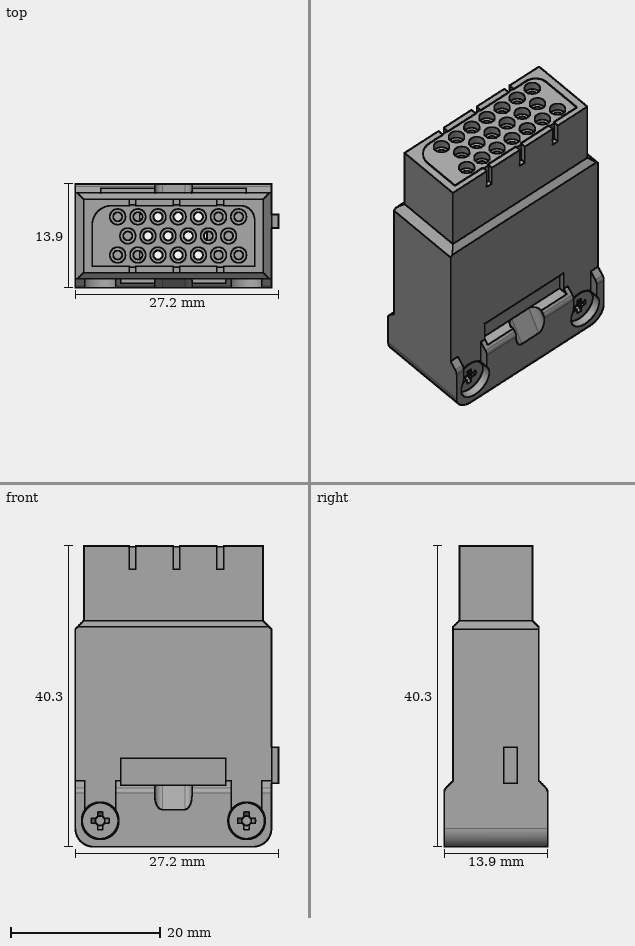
import cadquery as cq
import math

total_height = 40.3
shell_width = 26.3
body_thickness = 11.5
base_thickness = 13.9
neck_width = 24.0
neck_thickness = 9.8
neck_height = 10.0
neck_bottom = total_height - neck_height
bottom_corner_radius = 2.5

flare_top = 8.85
flare_radius = 1.0

insert_width = 21.75
insert_thickness = 8.1
insert_recess = 0.1
insert_left_corner_radius = 2.6
insert_right_corner_radius = 1.9

key_slot_width = 0.9
key_slot_depth = 3.1
key_slot_pitch = 5.87
key_slot_offset = 0.4
key_slot_floor_wall = 0.15

contact_pitch = 2.7
row_pitch = 2.56
contact_offset = 0.64
contacts_per_row = (7, 6, 7)
contact_socket_diameter = 2.1
contact_socket_depth = 1.25
contact_bore_diameter = 1.2

passage_width = 9.0
passage_thickness = 8.1

front_window_width = 14.07
back_window_width = 19.5
window_bottom = 8.25
window_top = 11.9
window_depth = 0.85
ramp_width = 5.0
ramp_bottom = 5.0
ramp_corner_radius = 1.0

screw_spacing = 19.6
screw_height = 3.5
screw_pocket_diameter = 5.0
screw_gap = 0.1
screw_gap_depth = 1.0
screw_channel_width = 4.1
drive_core_diameter = 1.28
drive_depth = 1.0
drive_arm_reach = 1.2
drive_arm_width = 0.7
drive_arm_depth = 0.8

tab_length = 0.95
tab_thickness = 1.85
tab_center_y = 1.95
tab_bottom = 8.5
tab_top = 13.35


def box_between(x_range, y_range, z_range):
    """Axis-aligned box given its limits along each axis."""
    return (
        cq.Workplane("XY")
        .box(
            x_range[1] - x_range[0],
            y_range[1] - y_range[0],
            z_range[1] - z_range[0],
            centered=False,
        )
        .translate((x_range[0], y_range[0], z_range[0]))
    )


def centered_range(center, size):
    return (center - size / 2, center + size / 2)


def make_housing():
    """Common volume of the width outline and the thickness outline."""
    half_width = shell_width / 2
    half_neck_width = neck_width / 2
    half_body = body_thickness / 2
    half_base = base_thickness / 2
    half_neck = neck_thickness / 2

    width_outline = (
        cq.Workplane("XZ")
        .moveTo(0, 0)
        .lineTo(half_width - bottom_corner_radius, 0)
        .radiusArc((half_width, bottom_corner_radius), -bottom_corner_radius)
        .lineTo(half_width, neck_bottom - (half_width - half_neck_width))
        .lineTo(half_neck_width, neck_bottom)
        .lineTo(half_neck_width, total_height)
        .lineTo(0, total_height)
        .close()
        .extrude(half_base, both=True)
    )
    width_outline = width_outline.union(width_outline.mirror("YZ"))

    arc_inset = flare_radius * (1 - math.cos(math.pi / 4))
    arc_rise = flare_radius * math.sin(math.pi / 4)
    arc_top_y = half_base - arc_inset
    arc_top_z = flare_top - (arc_top_y - half_body)
    thickness_outline = (
        cq.Workplane("YZ")
        .moveTo(0, 0)
        .lineTo(half_base, 0)
        .lineTo(half_base, arc_top_z - arc_rise)
        .radiusArc((arc_top_y, arc_top_z), -flare_radius)
        .lineTo(half_body, flare_top)
        .lineTo(half_body, neck_bottom - (half_body - half_neck))
        .lineTo(half_neck, neck_bottom)
        .lineTo(half_neck, total_height)
        .lineTo(0, total_height)
        .close()
        .extrude(half_width, both=True)
    )
    thickness_outline = thickness_outline.union(thickness_outline.mirror("XZ"))
    return width_outline.intersect(thickness_outline)


def cut_insert_face(part):
    """Lower the insert face below the neck rim; only its +Y corners are rounded."""
    recess = (
        cq.Workplane("XY")
        .workplane(offset=total_height - insert_recess)
        .rect(insert_width, insert_thickness)
        .extrude(insert_recess)
        .edges("|Z and >Y and <X")
        .fillet(insert_left_corner_radius)
        .edges("|Z and >Y and >X")
        .fillet(insert_right_corner_radius)
    )
    return part.cut(recess)


def cut_key_slots(part):
    """Three slots in each long wall, with a thin wall left level with the insert."""
    slot_z = (total_height - key_slot_depth, total_height)
    recess_z = (total_height - insert_recess, total_height)
    insert_y = insert_thickness / 2
    floor_y = insert_y + key_slot_floor_wall
    outer_y = neck_thickness / 2
    for step in (-1, 0, 1):
        slot_x = centered_range(key_slot_offset + step * key_slot_pitch, key_slot_width)
        slot = box_between(slot_x, (floor_y, outer_y), slot_z)
        slot = slot.union(box_between(slot_x, (insert_y, outer_y), recess_z))
        part = part.cut(slot).cut(slot.mirror("XZ"))
    return part


def contact_positions():
    positions = []
    middle_row = (len(contacts_per_row) - 1) / 2
    for row, count in enumerate(contacts_per_row):
        for column in range(count):
            x = contact_offset + (column - (count - 1) / 2) * contact_pitch
            positions.append((x, (row - middle_row) * row_pitch))
    return positions


def cut_contacts(part):
    """Sockets with a smaller bore that runs on to the bottom of the neck."""
    face_z = total_height - insert_recess
    holes = cq.Workplane("XY").workplane(offset=face_z).pushPoints(contact_positions())
    part = part.cut(holes.circle(contact_socket_diameter / 2).extrude(-contact_socket_depth))
    bore_depth = face_z - neck_bottom
    return part.cut(holes.circle(contact_bore_diameter / 2).extrude(-bore_depth))


def cut_cable_passage(part):
    passage_x = centered_range(0, passage_width)
    passage_y = centered_range(0, passage_thickness)
    return part.cut(box_between(passage_x, passage_y, (0, neck_bottom)))


def latch_cutter(window_width):
    """Window and thumb ramp for the -Y side."""
    floor_y = window_depth - body_thickness / 2
    face_y = -base_thickness / 2
    window = box_between(
        centered_range(0, window_width), (face_y, floor_y), (window_bottom, window_top)
    )

    run = floor_y - face_y
    rise = window_bottom - ramp_bottom
    tilt = math.degrees(math.atan2(run, rise))
    length = math.hypot(run, rise)
    ramp = (
        cq.Workplane("XY")
        .box(ramp_width, 2 * run, 2 * length, centered=(True, False, True))
        .edges("|Z and >Y")
        .fillet(ramp_corner_radius)
        .translate((0, -2 * run, 0))
        .rotate((0, 0, 0), (1, 0, 0), -tilt)
        .translate((0, face_y, ramp_bottom))
    )
    below_ledge = box_between(
        centered_range(0, ramp_width), (face_y, floor_y), (0, window_bottom)
    )
    return window.union(ramp.intersect(below_ledge))


def cut_latches(part):
    part = part.cut(latch_cutter(front_window_width))
    return part.cut(latch_cutter(back_window_width).mirror("XZ"))


def screw_head_plane():
    """Plane of the +X screw head; positive extrusion goes outward, toward -Y."""
    return cq.Workplane("XZ", origin=(screw_spacing / 2, -body_thickness / 2, screw_height))


def screw_recess_cutter():
    """Round pocket and the channel that leads up from it, level with the body face."""
    head_y = -body_thickness / 2
    face_y = -base_thickness / 2
    pocket = screw_head_plane().circle(screw_pocket_diameter / 2).extrude(head_y - face_y)
    channel = box_between(
        centered_range(screw_spacing / 2, screw_channel_width),
        (face_y, head_y),
        (screw_height, flare_top),
    )
    return pocket.union(channel)


def screw_head_cutter():
    """Gap around the screw head and the cross recess in it."""
    head_plane = screw_head_plane()
    pocket_radius = screw_pocket_diameter / 2
    core_radius = drive_core_diameter / 2
    gap = (
        head_plane.circle(pocket_radius)
        .circle(pocket_radius - screw_gap)
        .extrude(-screw_gap_depth)
    )

    cone = (
        head_plane.circle(drive_arm_reach)
        .workplane(offset=-drive_arm_depth)
        .circle(core_radius)
        .loft()
    )
    span = 2 * drive_arm_reach
    level_arms = head_plane.rect(span, drive_arm_width).extrude(-drive_arm_depth)
    upright_arms = head_plane.rect(drive_arm_width, span).extrude(-drive_arm_depth)
    core = head_plane.circle(core_radius).extrude(-drive_depth)
    return gap.union(core).union(level_arms.union(upright_arms).intersect(cone))


def cut_screws(part):
    for cutter in (screw_recess_cutter(), screw_head_cutter()):
        part = part.cut(cutter.union(cutter.mirror("YZ")))
    return part


def add_tab(part):
    tab_x = (shell_width / 2, shell_width / 2 + tab_length)
    tab_y = centered_range(tab_center_y, tab_thickness)
    return part.union(box_between(tab_x, tab_y, (tab_bottom, tab_top)))


connector = make_housing()
connector = cut_screws(connector)
connector = cut_insert_face(connector)
connector = cut_key_slots(connector)
connector = cut_contacts(connector)
connector = cut_cable_passage(connector)
connector = cut_latches(connector)
result = add_tab(connector)